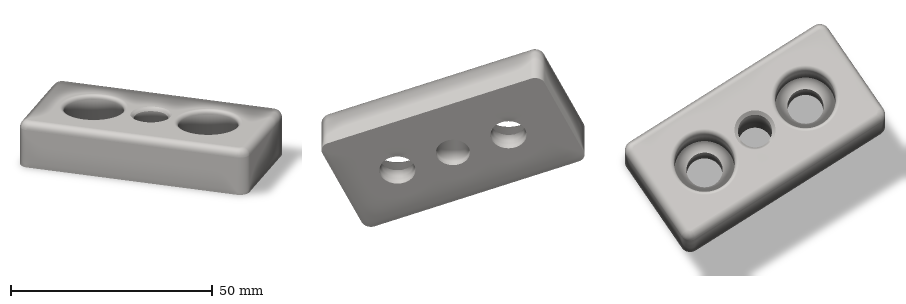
import cadquery as cq

length = 60.0
width = length / 2
height = 12.0
corner_radius = 2.5
top_edge_radius = 2.0

screw_spacing = length / 2
screw_hole_diameter = 9.0
counterbore_diameter = 15.0
counterbore_depth = 7.0
counterbore_rim_radius = 1.0

centre_hole_diameter = 8.45
countersink_diameter = 10.2
countersink_angle = 90.0


def make_block():
    """Plate resting on Z = 0 with rounded corners and a rounded top edge."""
    block = cq.Workplane("XY").box(length, width, height, centered=(True, True, False))
    block = block.edges("|Z").fillet(corner_radius)
    return block.faces(">Z").edges().fillet(top_edge_radius)


def make_screw_hole_cutter():
    """Through hole and counterbore whose rim is a convex fillet."""
    hole_radius = screw_hole_diameter / 2
    bore_radius = counterbore_diameter / 2
    floor_z = height - counterbore_depth
    rim_z = height - counterbore_rim_radius
    return (
        cq.Workplane("XZ")
        .lineTo(hole_radius, 0)
        .lineTo(hole_radius, floor_z)
        .lineTo(bore_radius, floor_z)
        .lineTo(bore_radius, rim_z)
        .radiusArc((bore_radius + counterbore_rim_radius, height), counterbore_rim_radius)
        .lineTo(0, height)
        .close()
        .revolve(axisStart=(0, 0), axisEnd=(0, height))
    )


block = make_block()

screw_hole = make_screw_hole_cutter()
for side in (-1, 1):
    block = block.cut(screw_hole.translate((side * screw_spacing / 2, 0, 0)))

result = (
    block.faces(">Z")
    .workplane(origin=(0, 0, height))
    .cskHole(centre_hole_diameter, countersink_diameter, countersink_angle)
)